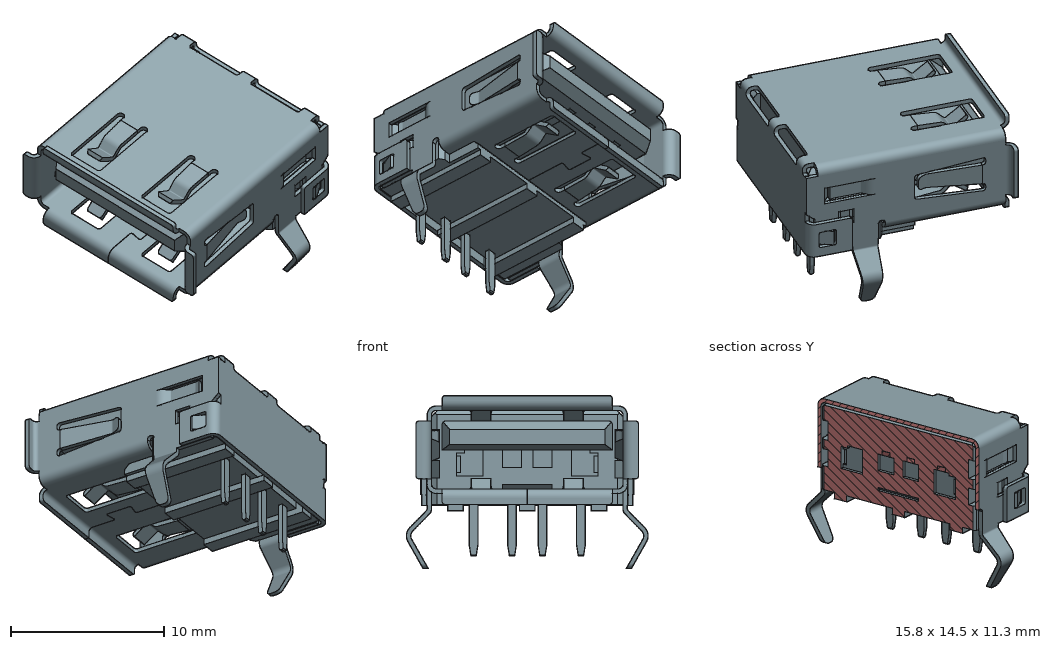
import cadquery as cq
import math


SHEET = 0.3
HALF_SHEET = SHEET / 2
SHELL_W = 13.07
SHELL_H = 5.7
BEND_R = 2 * SHEET
MID_BEND_R = BEND_R - HALF_SHEET
HALF_W = SHELL_W / 2
INNER_HALF_W = HALF_W - SHEET
TUBE_FRONT = -13.88
MOUTH_Y = TUBE_FRONT - BEND_R
FLOOR_REAR = -5.5
ROOF_REAR = -0.8
SKIRT_FRONT = -5.01
SKIRT_Z = -0.79
SLIT_END_R = 0.24
SLIT_TOP = 0.82

LIP_HALF_W = 5.55
LIP_RISE = 0.68
LIP_DROP = 0.72
SIDE_LIP_Z = (0.95, 4.73)
LIP_CORNER = 0.2

SEAM_GAP = 0.02
SEAM_KEY_X = 0.88
SEAM_KEY_Y = (-12.14, -10.56)
SEAM_KEY_FLARE = 0.17
SEAM_BEND_R = 0.13

FINGER_X = 3.01
FINGER_SLOT_W = 2.47
FINGER_SLOT_Y = (-13.29, -8.26)
FINGER_ROOT_Y = -8.8
FINGER_ROOT_W = 1.45
FINGER_TIP_W = 1.2
FINGER_TIP_Y = -12.39
FINGER_CREST = (-10.5, -0.27)
FINGER_TROUGH = (-11.16, -0.88)
FINGER_END = (-12.31, -0.08)
SLOT_END_R = 0.25
SLOT_CORNER_R = 0.19
FINGER_BEND_R = (0.24, 0.47, 0.24)

SIDE_FINGER_Z = 2.84
SIDE_WINDOW_Y = (-12.48, -7.53)
SIDE_WINDOW_HALF_H = (1.26, 0.91)
SIDE_ROOT_Y = -12.25
SIDE_TIP_Y = -7.91
SIDE_TIP_R = 0.28
SIDE_FINGER_BEND_R = 0.4
SIDE_FINGER_BEND_Y = -8.51
SIDE_FINGER_INSET = 0.54
SIDE_TIP_INSET = 0.25
SIDE_FINGER_HALF_H = (0.72, 0.47)

LANCE_Y = (-4.79, -1.26)
LANCE_Z = (2.92, 4.1)
LANCE_END_Y = -1.77
LANCE_INSET = 0.47
LANCE_SLOPE_Y = (-4.52, -4.03)
LANCE_FLARE_Y = -2.03
LANCE_FLARE = 0.19
LANCE_BEND_R = (0.6, 0.24, 0.24)
SIDE_HOLE_Y = (-3.33, -2.24)
SIDE_HOLE_Z = (1.07, 2.1)

REAR_TOP_Z = 5.06
STRAP_X = (-5.22, 0, 5.22)
STRAP_W = 1.09
STRAP_BEND_R = 0.27
STRAP_ROOT_R = 0.19
WRAP_GAP = 0.05
WRAP_MID_X = HALF_W + WRAP_GAP + HALF_SHEET
WRAP_TOP_Z = 1.67
WRAP_END_Y = {"right": -2.8, "left": -3.09}
WRAP_CORNER_R = 0.19
RELIEF_Y = -0.6
RELIEF_Z = (1.85, 2.35)
CATCH_Y = (-1.95, -0.75)
CATCH_Z = (-0.13, 1.02)
CATCH_GAP = 0.06
CATCH_CORNER_R = 0.13
CATCH_PEAK_X = 6.97
CATCH_PEAK_Y = -1.77

LEG_Y = (SKIRT_FRONT, -3.23)
LEG_TIP_HALF_W = 0.45
LEG_NECK_Z = -1.13
LEG_KNEE = (7.88, -2.66)
LEG_END = (6.57, -4.98)
LEG_BEND_R = (0.3, 0.61)
LEG_TIP_Z = -4.9
LEG_TIP_R = 0.36

HOUSING_REAR = -0.32
REAR_RECESS_Y = -0.82
WALL_FRONT = FLOOR_REAR
WALL_HALF_W = INNER_HALF_W
WALL_TOP = SHELL_H - SHEET
WALL_SIDE_CHAMFER = (0.35, 0.25)
WALL_TOP_CHAMFER = 0.27
WALL_CORNER_CHAMFER = 0.38
BASE_Z = -0.71
BASE_FRONT = -7.96
BASE_HALF_W = 5.44
BASE_NOSE_CHAMFER = 0.35
RAIL_X = (-4.68, 0, 4.68)
RAIL_W = 1.02
RAIL_Z = -1.13

TONGUE_HALF_W = 5.55
TONGUE_Z = (2.82, 4.73)
TONGUE_FRONT = -13.77
TONGUE_BEVEL_L = 0.79
TONGUE_CORNER_R = 0.25
TONGUE_BEVEL_SIDE = 0.49
TONGUE_BEVEL_TOP = 0.55
TONGUE_BEVEL_BOTTOM = 0.38

SIDE_POCKET_X = 5.7
SIDE_POCKET_CLEARANCE = 0.06
UPPER_POCKET_Y = (LANCE_END_Y, LANCE_Y[1])
LOWER_POCKET_Y = (SIDE_HOLE_Y[0], -2.47)

FACE_POCKET_DEPTH = 0.32
INNER_POCKET_X = (0.38, 1.62)
INNER_POCKET_BOTTOM = 1.69
OUTER_POCKET_X = (2.9, 4.62)
OUTER_POCKET_Z = (1.13, 2.65)
OUTER_POCKET_NECK_X = 4.1
NICHE_X = 4.35
NICHE_Z = (1.37, 2.43)
NICHE_DEPTH = 0.47
SILL_HALF_W = 1.6
SILL_H = 0.3

CONTACT_X = (-3.5, -1.0, 1.0, 3.5)
CONTACT_W = 0.58
CONTACT_T = 0.3
CONTACT_REAR = -1.28
CONTACT_FRONT = -12.3
PIN_TIP_Z = -4.08
PIN_TAPER_Z = -3.35
PIN_TIP_W = 0.35
PIN_TIP_CHAMFER = 0.08


def block(x, y, z):
    """Box spanning the given (low, high) pairs, in either order."""
    size = [abs(pair[1] - pair[0]) for pair in (x, y, z)]
    low = [min(pair) for pair in (x, y, z)]
    return cq.Workplane("XY").box(*size, centered=False).translate(tuple(low))


def both_sides(solid):
    return solid.union(solid.mirror("YZ"))


def strip(plane, path, bend_r, low, high, thickness=SHEET):
    """Bent sheet along the mid-line `path`, spanning low..high on the plane normal.

    `bend_r` is the mid radius of every fold, or a tuple with one radius per fold.
    """
    points = [cq.Vector(*p) for p in path]
    runs = [(b - a).normalized() for a, b in zip(points, points[1:])]
    radii = bend_r if isinstance(bend_r, tuple) else (bend_r,) * (len(runs) - 1)

    def side(offset):
        def shifted(point, run):
            return point + cq.Vector(-run.y, run.x) * offset

        steps = []
        for corner, radius, run_in, run_out in zip(points[1:-1], radii, runs, runs[1:]):
            half_turn = run_in.getAngle(run_out) / 2
            setback = radius * math.tan(half_turn)
            inward = (run_out - run_in).normalized()
            middle = corner + inward * (radius / math.cos(half_turn) - radius)
            steps.append((
                shifted(corner - run_in * setback, run_in),
                shifted(middle, (run_in + run_out).normalized()),
                shifted(corner + run_out * setback, run_out),
            ))
        return shifted(points[0], runs[0]), steps, shifted(points[-1], runs[-1])

    start, steps, end = side(thickness / 2)
    back_start, back_steps, back_end = side(-thickness / 2)
    outline = cq.Workplane(plane).workplane(offset=low).moveTo(start.x, start.y)
    for entry, middle, leave in steps:
        outline = outline.lineTo(entry.x, entry.y).threePointArc(middle.toTuple()[:2], leave.toTuple()[:2])
    outline = outline.lineTo(end.x, end.y).lineTo(back_end.x, back_end.y)
    for entry, middle, leave in reversed(back_steps):
        outline = outline.lineTo(leave.x, leave.y).threePointArc(middle.toTuple()[:2], entry.toTuple()[:2])
    return outline.lineTo(back_start.x, back_start.y).close().extrude(high - low)



def tube():
    """Rounded tube, open at the rear of its floor and continued there by straight side skirts."""
    outer = block((-HALF_W, HALF_W), (TUBE_FRONT, 0), (0, SHELL_H)).edges("|Y").fillet(BEND_R)
    inner = block((-INNER_HALF_W, INNER_HALF_W), (TUBE_FRONT, 0), (SHEET, SHELL_H - SHEET))
    inner = inner.edges("|Y").fillet(BEND_R - SHEET)
    body = outer.cut(inner)
    body = body.cut(block((-HALF_W, HALF_W), (FLOOR_REAR, 0), (0, BEND_R)))
    body = body.cut(block((-HALF_W, HALF_W), (ROOF_REAR, 0), (SHELL_H - BEND_R, SHELL_H)))
    skirt = block((INNER_HALF_W, HALF_W), (SKIRT_FRONT, 0), (SKIRT_Z, BEND_R))
    body = body.union(both_sides(skirt))
    slit = block((INNER_HALF_W, HALF_W), (FLOOR_REAR, SKIRT_FRONT), (0, SLIT_TOP))
    slit = slit.edges("|X and >Z").fillet(SLIT_END_R)
    relief = (
        cq.Workplane("YZ").workplane(offset=INNER_HALF_W)
        .polyline([(0, SKIRT_Z), (0, RELIEF_Z[1]), (RELIEF_Y, RELIEF_Z[0]), (RELIEF_Y, SKIRT_Z)])
        .close().extrude(SHEET)
    )
    return body.cut(both_sides(slit.union(relief)))


def lips():
    """Four flared lips round the mouth."""
    lip_mid_y = MOUTH_Y + HALF_SHEET
    start_y = TUBE_FRONT + HALF_SHEET
    span = (-LIP_HALF_W, LIP_HALF_W)
    top_mid = SHELL_H - HALF_SHEET
    top = strip("YZ", [(start_y, top_mid), (lip_mid_y, top_mid), (lip_mid_y, SHELL_H + LIP_RISE)],
                MID_BEND_R, *span).edges("|Y and >Z").fillet(LIP_CORNER)
    bottom = strip("YZ", [(start_y, HALF_SHEET), (lip_mid_y, HALF_SHEET), (lip_mid_y, -LIP_DROP)],
                   MID_BEND_R, *span).edges("|Y and <Z").fillet(LIP_CORNER)
    side_mid = HALF_W - HALF_SHEET
    side = strip("XY", [(side_mid, start_y), (side_mid, lip_mid_y), (HALF_W + LIP_DROP, lip_mid_y)],
                 MID_BEND_R, *SIDE_LIP_Z).edges("|Y and >X").fillet(LIP_CORNER)
    return top.union(bottom).union(both_sides(side))


def seam():
    """Thin dovetailed gap along the middle of the bottom plate."""
    front, rear = SEAM_KEY_Y
    line = [
        (0, MOUTH_Y - SHEET), (0, front), (SEAM_KEY_X, front - SEAM_KEY_FLARE),
        (SEAM_KEY_X, rear + SEAM_KEY_FLARE), (0, rear), (0, FLOOR_REAR + SHEET),
    ]
    return strip("XY", line, SEAM_BEND_R, -2 * LIP_DROP, BEND_R, SEAM_GAP)


def finger_slot():
    """U-shaped cut round a top or bottom finger, through both plates."""
    half = FINGER_SLOT_W / 2
    height = (0, SHELL_H)
    slot = block((FINGER_X - half, FINGER_X + half), FINGER_SLOT_Y, height)
    slot = slot.edges("|Z and <Y").fillet(SLOT_CORNER_R)
    half_root = FINGER_ROOT_W / 2
    neck = block((FINGER_X - half_root, FINGER_X + half_root), (FINGER_ROOT_Y, FINGER_SLOT_Y[1]), height)
    slot = slot.cut(neck).edges("|Z and >Y").fillet(SLOT_END_R)
    core = block((0, HALF_W), FINGER_SLOT_Y, (SHEET, SHELL_H - SHEET))
    return slot.cut(core)


def top_finger():
    """Finger that dips under the top plate and turns back up at its tip."""
    path = [
        (FINGER_ROOT_Y + HALF_SHEET, -HALF_SHEET), (FINGER_ROOT_Y, -HALF_SHEET),
        FINGER_CREST, FINGER_TROUGH, FINGER_END,
    ]
    half_slot = FINGER_SLOT_W / 2
    bent = strip("YZ", path, FINGER_BEND_R, FINGER_X - half_slot, FINGER_X + half_slot)
    half_root = FINGER_ROOT_W / 2
    half_tip = FINGER_TIP_W / 2
    root = FINGER_ROOT_Y + HALF_SHEET
    plan = (
        cq.Workplane("XY").workplane(offset=-SHELL_H / 2)
        .polyline([
            (FINGER_X - half_root, root), (FINGER_X + half_root, root),
            (FINGER_X + half_tip, FINGER_TIP_Y), (FINGER_X - half_tip, FINGER_TIP_Y),
        ]).close().extrude(SHELL_H).edges("|Z and <Y").fillet(SLOT_CORNER_R)
    )
    return bent.intersect(plan).translate((0, 0, SHELL_H))


def side_outline(front_y, front_half, rear_y, rear_half):
    """Prism across X through the right side plate and its finger, tapering along Y."""
    return (
        cq.Workplane("YZ").workplane(offset=HALF_W / 2)
        .polyline([
            (front_y, SIDE_FINGER_Z - front_half), (front_y, SIDE_FINGER_Z + front_half),
            (rear_y, SIDE_FINGER_Z + rear_half), (rear_y, SIDE_FINGER_Z - rear_half),
        ]).close().extrude(HALF_W)
    )


def side_window():
    window = side_outline(SIDE_WINDOW_Y[0], SIDE_WINDOW_HALF_H[0], SIDE_WINDOW_Y[1], SIDE_WINDOW_HALF_H[1])
    window = window.edges("|X and >Y").fillet(SLOT_CORNER_R)
    half_root = SIDE_FINGER_HALF_H[0]
    neck = block((0, SHELL_W), (SIDE_WINDOW_Y[0], SIDE_ROOT_Y),
                 (SIDE_FINGER_Z - half_root, SIDE_FINGER_Z + half_root))
    return window.cut(neck).edges("|X and <Y").fillet(SLOT_CORNER_R)


def side_finger():
    """Finger that leans into the mouth and turns back out at its rear tip."""
    root = SIDE_ROOT_Y - HALF_SHEET
    mid_x = HALF_W - HALF_SHEET
    path = [
        (mid_x, root), (mid_x, SIDE_ROOT_Y), (mid_x - SIDE_FINGER_INSET, SIDE_FINGER_BEND_Y),
        (mid_x - SIDE_TIP_INSET, SIDE_TIP_Y + HALF_SHEET),
    ]
    low = SIDE_FINGER_Z - SIDE_WINDOW_HALF_H[0]
    high = SIDE_FINGER_Z + SIDE_WINDOW_HALF_H[0]
    bent = strip("XY", path, SIDE_FINGER_BEND_R, low, high)
    plan = side_outline(root, SIDE_FINGER_HALF_H[0], SIDE_TIP_Y, SIDE_FINGER_HALF_H[1])
    return bent.intersect(plan.edges("|X and >Y").fillet(SIDE_TIP_R))


def lanced_tab():
    """Tab pushed inward from the front edge of its opening, with a flared rear end."""
    mid_x = HALF_W - HALF_SHEET
    inset_x = mid_x - LANCE_INSET
    slope_front, slope_rear = LANCE_SLOPE_Y
    path = [
        (mid_x, LANCE_Y[0] - HALF_SHEET), (mid_x, slope_front), (inset_x, slope_rear),
        (inset_x, LANCE_FLARE_Y), (inset_x + LANCE_FLARE, LANCE_END_Y + SHEET),
    ]
    bent = strip("XY", path, LANCE_BEND_R, *LANCE_Z)
    return bent.cut(block((0, SHELL_W), (LANCE_END_Y, 0), LANCE_Z))


def strap_root(side):
    """Fillet web at both ends of the strap edge at x = 0; the strap lies on the side opposite to `side`."""
    x = (0, side * STRAP_ROOT_R)
    upper = block(x, (ROOF_REAR, ROOF_REAR + STRAP_ROOT_R), (SHELL_H - SHEET, SHELL_H))
    upper = upper.cut(
        cq.Workplane("XY").workplane(offset=SHELL_H - SHEET)
        .center(side * STRAP_ROOT_R, ROOF_REAR + STRAP_ROOT_R).circle(STRAP_ROOT_R).extrude(SHEET)
    )
    lower = block(x, (-SHEET, 0), (REAR_TOP_Z, REAR_TOP_Z + STRAP_ROOT_R))
    lower = lower.cut(
        cq.Workplane("XZ").center(side * STRAP_ROOT_R, REAR_TOP_Z + STRAP_ROOT_R)
        .circle(STRAP_ROOT_R).extrude(SHEET)
    )
    return upper.union(lower)


def rear_plate():
    """Rear plate, its straps with their filleted inner roots, and the wraps outside the side plates."""
    mid_y = -HALF_SHEET
    plate = block((-INNER_HALF_W, INNER_HALF_W), (-SHEET, 0), (SKIRT_Z, REAR_TOP_Z))
    strap_mid = SHELL_H - HALF_SHEET
    strap_path = [(ROOF_REAR - HALF_SHEET, strap_mid), (mid_y, strap_mid), (mid_y, REAR_TOP_Z - HALF_SHEET)]
    for x in STRAP_X:
        plate = plate.union(strip("YZ", strap_path, STRAP_BEND_R, x - STRAP_W / 2, x + STRAP_W / 2))
        for side in (-1, 1):
            if side * x <= 0:
                plate = plate.union(strap_root(side).translate((x + side * STRAP_W / 2, 0, 0)))
    for name, end_y in WRAP_END_Y.items():
        path = [(INNER_HALF_W - MID_BEND_R, mid_y), (WRAP_MID_X, mid_y), (WRAP_MID_X, end_y)]
        wrap = strip("XY", path, MID_BEND_R, SKIRT_Z, WRAP_TOP_Z)
        wrap = wrap.edges("|X and <Y and >Z").fillet(WRAP_CORNER_R)
        wrap = wrap.cut(block((HALF_W, SHELL_W), CATCH_Y, CATCH_Z).edges("|X").fillet(CATCH_CORNER_R))
        plate = plate.union(wrap if name == "right" else wrap.mirror("YZ"))
    return plate


def catch():
    """Ramped catch on the side plate that fills the opening of the wrap."""
    front = CATCH_Y[0] + CATCH_GAP
    rear = CATCH_Y[1] - CATCH_GAP
    profile = [(HALF_W - HALF_SHEET, front), (HALF_W, front), (CATCH_PEAK_X, CATCH_PEAK_Y), (HALF_W, rear),
               (HALF_W - HALF_SHEET, rear)]
    low, high = CATCH_Z
    return (
        cq.Workplane("XY").workplane(offset=low + CATCH_GAP).polyline(profile).close()
        .extrude(high - low - 2 * CATCH_GAP)
    )


def leg():
    """Tapered board leg, folded out and back in."""
    mid_x = HALF_W - HALF_SHEET
    path = [(mid_x, SKIRT_Z), (mid_x, LEG_NECK_Z), LEG_KNEE, LEG_END]
    front, rear = LEG_Y
    bent = strip("XZ", path, LEG_BEND_R, -rear, -front)
    middle = (front + rear) / 2
    plan = (
        cq.Workplane("YZ")
        .polyline([(front, SKIRT_Z), (rear, SKIRT_Z), (middle + LEG_TIP_HALF_W, LEG_TIP_Z),
                   (middle - LEG_TIP_HALF_W, LEG_TIP_Z)])
        .close().extrude(SHELL_W).edges("|X and <Z").fillet(LEG_TIP_R)
    )
    return bent.intersect(plan)


def make_shell():
    x_range = (INNER_HALF_W, HALF_W)
    body = tube().union(lips()).cut(seam())
    openings = finger_slot().union(side_window())
    openings = openings.union(block(x_range, LANCE_Y, LANCE_Z))
    openings = openings.union(block(x_range, SIDE_HOLE_Y, SIDE_HOLE_Z))
    body = body.cut(both_sides(openings))
    bottom_finger = top_finger().mirror("XY").translate((0, 0, SHELL_H))
    for feature in (top_finger(), bottom_finger, side_finger(), lanced_tab(), catch(), leg()):
        body = body.union(both_sides(feature))
    return body.union(rear_plate())



def wall():
    """Block that closes the shell, with eased front and upper edges and a recess in its rear face."""
    across, along = WALL_SIDE_CHAMFER
    half = WALL_HALF_W
    body = (
        cq.Workplane("XY").workplane(offset=BASE_Z)
        .polyline([
            (-half, HOUSING_REAR), (half, HOUSING_REAR), (half, WALL_FRONT + along),
            (half - across, WALL_FRONT), (across - half, WALL_FRONT), (-half, WALL_FRONT + along),
        ]).close().extrude(WALL_TOP - BASE_Z)
    )
    body = body.faces(">Z").edges("|X").chamfer(WALL_TOP_CHAMFER)
    recess_half = RAIL_X[-1] - RAIL_W / 2
    body = body.cut(block((-recess_half, recess_half), (REAR_RECESS_Y, HOUSING_REAR), (BASE_Z, WALL_TOP)))
    corner = (
        cq.Workplane("XZ").workplane(offset=-HOUSING_REAR)
        .polyline([
            (half, WALL_TOP), (half - WALL_CORNER_CHAMFER, WALL_TOP), (half, WALL_TOP - WALL_CORNER_CHAMFER),
        ])
        .close().extrude(HOUSING_REAR - WALL_FRONT)
    )
    return body.cut(both_sides(corner))


def base():
    """Foot under the bottom plate, on three rails."""
    foot = block((-BASE_HALF_W, BASE_HALF_W), (BASE_FRONT, WALL_FRONT), (BASE_Z, 0))
    foot = foot.edges("|X and <Y and >Z").chamfer(BASE_NOSE_CHAMFER)
    for x in RAIL_X:
        rail_x = (x - RAIL_W / 2, x + RAIL_W / 2)
        foot = foot.union(block(rail_x, (BASE_FRONT, HOUSING_REAR), (RAIL_Z, BASE_Z)))
    return foot


def tongue():
    """Tongue with rounded upper edges and a bevelled front end."""
    low, high = TONGUE_Z
    bevel_start = TONGUE_FRONT + TONGUE_BEVEL_L
    rounded = block((-TONGUE_HALF_W, TONGUE_HALF_W), (TONGUE_FRONT, WALL_FRONT), (low, high))
    rounded = rounded.edges("|Y and >Z").fillet(TONGUE_CORNER_R)
    bar = block((-TONGUE_HALF_W, TONGUE_HALF_W), (bevel_start, WALL_FRONT), (low, high))

    def section(y, half, bottom, top):
        corners = [(-half, y, bottom), (half, y, bottom), (half, y, top), (-half, y, top)]
        return cq.Wire.makePolygon([cq.Vector(*c) for c in corners], close=True)

    nose = cq.Solid.makeLoft([
        section(bevel_start, TONGUE_HALF_W, low, high),
        section(TONGUE_FRONT, TONGUE_HALF_W - TONGUE_BEVEL_SIDE, low + TONGUE_BEVEL_BOTTOM,
                high - TONGUE_BEVEL_TOP),
    ], True)
    return rounded.intersect(bar.union(cq.Workplane(nose)))


def side_groove(z, ramp_y):
    """Groove in the side of the wall, open at the front, with a floor that ramps out at its rear."""
    ramp_front, ramp_rear = ramp_y
    low = z[0] - SIDE_POCKET_CLEARANCE
    high = z[1] + SIDE_POCKET_CLEARANCE
    return (
        cq.Workplane("XY").workplane(offset=low)
        .polyline([(SIDE_POCKET_X, WALL_FRONT), (SIDE_POCKET_X, ramp_front), (WALL_HALF_W, ramp_rear),
                   (WALL_HALF_W, WALL_FRONT)])
        .close().extrude(high - low)
    )


def face_pockets():
    """Pockets in the wall face below the tongue, and the sloped sill at its foot."""
    ceiling = TONGUE_Z[0]
    y = (WALL_FRONT, WALL_FRONT + FACE_POCKET_DEPTH)
    right = block(INNER_POCKET_X, y, (INNER_POCKET_BOTTOM, ceiling))
    right = right.union(block(OUTER_POCKET_X, y, OUTER_POCKET_Z))
    right = right.union(block((OUTER_POCKET_X[0], OUTER_POCKET_NECK_X), y, (OUTER_POCKET_Z[0], ceiling)))
    niche = block((NICHE_X, OUTER_POCKET_X[1]), (WALL_FRONT, WALL_FRONT + NICHE_DEPTH), NICHE_Z)
    sill = (
        cq.Workplane("YZ").workplane(offset=-SILL_HALF_W)
        .polyline([(WALL_FRONT, SHEET), (WALL_FRONT, SHEET + SILL_H), (WALL_FRONT + SILL_H, SHEET)])
        .close().extrude(2 * SILL_HALF_W)
    )
    return both_sides(right.union(niche)).union(sill)


def make_housing():
    body = wall().union(base()).union(tongue()).cut(face_pockets())
    grooves = side_groove(LANCE_Z, UPPER_POCKET_Y).union(side_groove(SIDE_HOLE_Z, LOWER_POCKET_Y))
    return body.cut(both_sides(grooves))



def make_contact(x):
    """Bent contact: a blade flush with the underside of the tongue and a pin down through the base."""
    blade_top = TONGUE_Z[0] + CONTACT_T
    pin_y = (CONTACT_REAR - CONTACT_T, CONTACT_REAR)
    half = CONTACT_W / 2
    half_tip = PIN_TIP_W / 2
    blade = block((-half, half), (CONTACT_FRONT, CONTACT_REAR), (TONGUE_Z[0], blade_top))
    pin = (
        cq.Workplane("XZ").workplane(offset=-pin_y[1])
        .polyline([(-half, blade_top), (half, blade_top), (half, PIN_TAPER_Z), (half_tip, PIN_TIP_Z),
                   (-half_tip, PIN_TIP_Z), (-half, PIN_TAPER_Z)])
        .close().extrude(CONTACT_T)
    )
    pin = pin.faces("<Z").edges("|X").chamfer(PIN_TIP_CHAMFER)
    return blade.union(pin).translate((x, 0, 0))


shell = make_shell()
housing = make_housing()

housing = housing.union(make_contact(CONTACT_X[0]))
contacts = []
for contact_x in CONTACT_X[1:]:
    contact = make_contact(contact_x)
    housing = housing.cut(contact)
    contacts.append(contact)

result = cq.Compound.makeCompound([shell.val(), housing.val(), *[contact.val() for contact in contacts]])